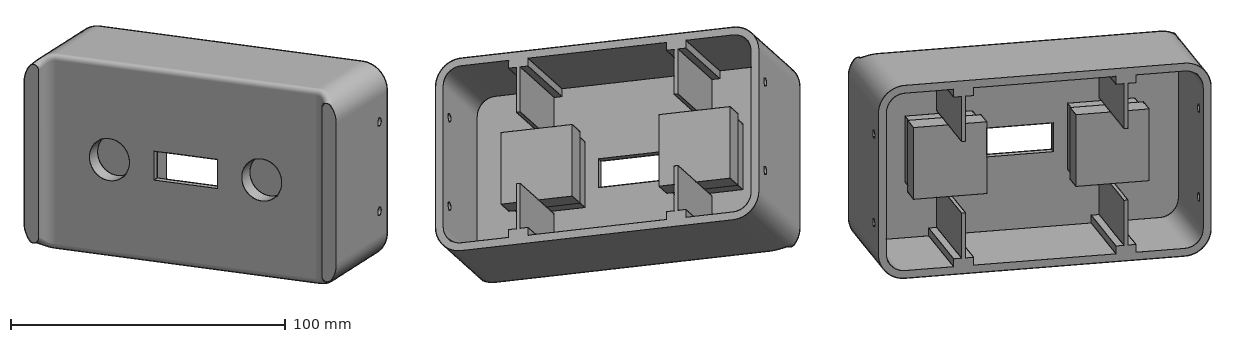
import cadquery as cq

width = 125.0
height = 74.0
body_depth = 40.0
lip_depth = 4.8
wall = 3.0
corner_radius = 10.0
edge_round = 2.0

lip_thickness = 5.8
foot_radius = lip_depth
foot_start_x = width / 2 - lip_thickness - foot_radius

hole_diameter = 16.0
hole_depth = 7.1
hole_offset = 30.5
window_width = 25.4
window_height = 11.0

screw_diameter = 3.0
screw_spacing = 34.0
screw_inset = 6.9

block_side = 27.5
block_depth = 20.0
waist_side = 25.2
waist_depth = 11.4

rib_foot_width = 7.5
rib_foot_height = 3.0
rib_web_width = 1.5

cavity_floor = -height / 2 + wall
cavity_depth = body_depth - wall


def box(x_size, y_start, y_size, z_start, z_size, x_centre=0.0):
    """Box centred on x_centre, starting at the given Y and Z."""
    corner = cq.Vector(x_centre - x_size / 2, y_start, z_start)
    return cq.Workplane(cq.Solid.makeBox(x_size, y_size, z_size, corner))


def make_outer_body():
    """Rounded body with two forward lips and the long front edges rounded."""
    half = width / 2
    profile = (
        cq.Workplane("XY")
        .moveTo(-half, body_depth)
        .lineTo(-half, -lip_depth)
        .lineTo(-half + lip_thickness, -lip_depth)
        .radiusArc((-foot_start_x, 0), foot_radius)
        .lineTo(foot_start_x, 0)
        .radiusArc((half - lip_thickness, -lip_depth), foot_radius)
        .lineTo(half, -lip_depth)
        .lineTo(half, body_depth)
        .close()
    )
    sides = profile.extrude(height / 2, both=True)
    frame = box(width, -lip_depth, lip_depth + body_depth, -height / 2, height)
    body = sides.intersect(frame.edges("|Y").fillet(corner_radius))
    margin = 0.1
    front_edges = cq.selectors.BoxSelector((-margin, -margin, -height), (margin, margin, height))
    return body.edges(front_edges).fillet(edge_round)


def make_cavity():
    """Cavity open at the back, leaving an even wall."""
    inner = box(width - 2 * wall, wall, cavity_depth, cavity_floor, height - 2 * wall)
    return inner.edges("|Y").fillet(corner_radius - wall)


def make_block(x):
    """Block behind one blind hole."""
    waist = box(waist_side, wall, waist_depth - wall, -waist_side / 2, waist_side, x)
    head = box(block_side, waist_depth, block_depth - waist_depth, -block_side / 2, block_side, x)
    return waist.union(head)


def make_ribs(x):
    """Ribs with a wide foot, reaching from the cavity floor and ceiling to one block."""
    foot = box(rib_foot_width, wall, cavity_depth, cavity_floor, rib_foot_height, x)
    web = box(rib_web_width, wall, cavity_depth, cavity_floor, -block_side / 2 - cavity_floor, x)
    lower = foot.union(web)
    return lower.union(lower.mirror("XY"))


def make_screw_holes():
    """Pair of holes running through both short sides."""
    return (
        cq.Workplane("YZ")
        .pushPoints([(body_depth - screw_inset, z) for z in (-screw_spacing / 2, screw_spacing / 2)])
        .circle(screw_diameter / 2)
        .extrude(width / 2, both=True)
    )


def make_window():
    """Rectangular opening through the front wall."""
    return box(window_width, 0, wall, -window_height / 2, window_height)


def make_blind_hole(x):
    """Round recess from the front face into a block."""
    return cq.Workplane("XZ").center(x, 0).circle(hole_diameter / 2).extrude(-hole_depth)


result = make_outer_body().cut(make_cavity()).cut(make_screw_holes()).cut(make_window())
for hole_x in (-hole_offset, hole_offset):
    result = result.union(make_block(hole_x)).union(make_ribs(hole_x)).cut(make_blind_hole(hole_x))